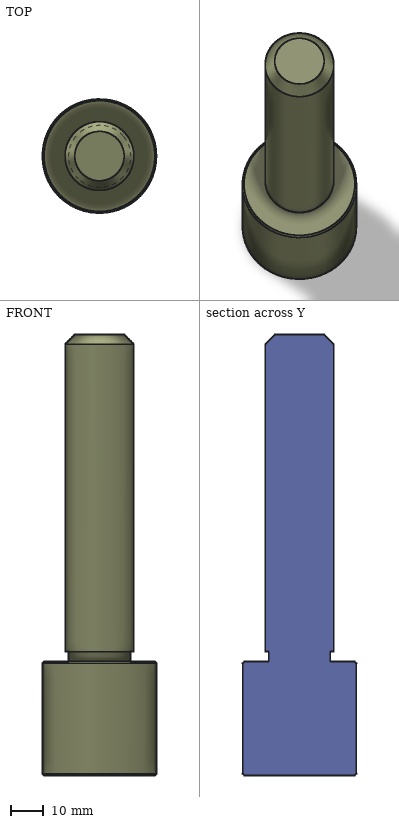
import cadquery as cq

total_height = 135
head_diameter = 35.0
head_height = 35.0
head_chamfer = 0.5
neck_diameter = 19.0
neck_height = 3.0
shaft_diameter = 21.0
tip_chamfer = 3.0

shaft_base = head_height + neck_height
shaft_height = total_height - shaft_base


def cylinder(diameter, height, base):
    """Solid cylinder on the Z axis standing on the height `base`."""
    return cq.Workplane("XY").workplane(offset=base).circle(diameter / 2).extrude(height)


head = cylinder(head_diameter, head_height, 0).faces("<Z or >Z").edges().chamfer(head_chamfer)

neck = cylinder(neck_diameter, neck_height, head_height)

shaft = cylinder(shaft_diameter, shaft_height, shaft_base).faces(">Z").edges().chamfer(tip_chamfer)

result = head.union(neck).union(shaft)